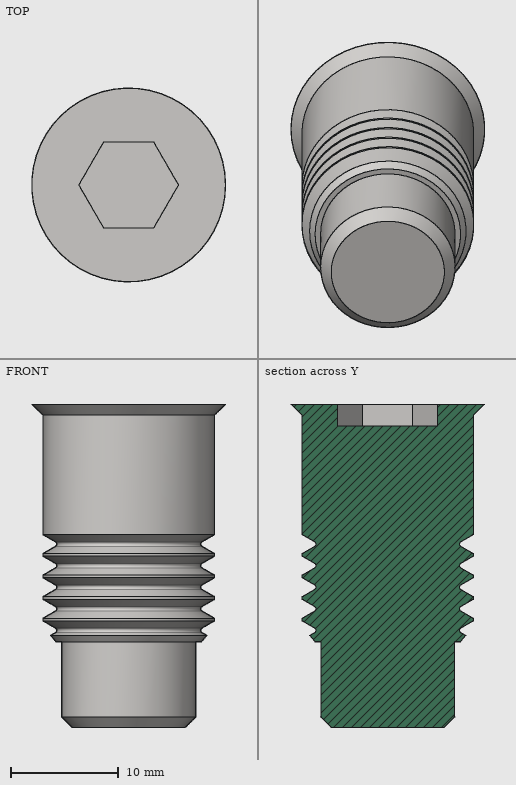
import cadquery as cq
import math

total_height = 30.0
head_radius = 9.0
body_radius = 7.98
pin_radius = 6.25
edge_chamfer = 1.0
thread_top = 17.9
thread_bottom = 7.95
thread_end_radius = 6.75
thread_end_peak_radius = 7.25
groove_count = 5
groove_pitch = 2.0
crest_width = 0.25
groove_depth = 1.3
flank_angle = math.radians(30)
hex_across_flats = 8.0
hex_depth = 2.0

groove_half_width = (groove_pitch - crest_width) / 2
sharp_depth = groove_half_width / math.tan(flank_angle)
root_arc_radius = sharp_depth - groove_depth
root_radius = body_radius - groove_depth
tangent_radius = root_radius + root_arc_radius * (1 - math.sin(flank_angle))
tangent_half_width = root_arc_radius * math.cos(flank_angle)


def groove_center(index):
    return thread_top - groove_half_width - index * groove_pitch


def cut_groove(profile, index):
    """Draw one groove down to its root and up to its lower edge."""
    center = groove_center(index)
    profile = profile.lineTo(body_radius, center + groove_half_width)
    profile = profile.lineTo(tangent_radius, center + tangent_half_width)
    profile = profile.threePointArc(
        (root_radius, center), (tangent_radius, center - tangent_half_width)
    )
    if index < groove_count - 1:
        return profile.lineTo(body_radius, center - groove_half_width)
    flank_rise = (body_radius - thread_end_peak_radius) * math.tan(flank_angle)
    return profile.lineTo(thread_end_peak_radius, center - groove_half_width + flank_rise)


def make_body():
    """Revolve the half profile, drawn from the top face down, about Z."""
    profile = (
        cq.Workplane("XZ")
        .moveTo(0, total_height)
        .lineTo(head_radius, total_height)
        .lineTo(body_radius, total_height - edge_chamfer)
    )
    for index in range(groove_count):
        profile = cut_groove(profile, index)
    profile = (
        profile.lineTo(thread_end_radius, thread_bottom)
        .lineTo(pin_radius, thread_bottom)
        .lineTo(pin_radius, edge_chamfer)
        .lineTo(pin_radius - edge_chamfer, 0)
        .lineTo(0, 0)
        .close()
    )
    return profile.revolve(360, (0, 0, 0), (0, 1, 0))


def make_hex_socket():
    """Hexagonal drive socket with two corners on the X axis."""
    across_corners = hex_across_flats / math.cos(math.radians(30))
    return (
        cq.Workplane("XY", origin=(0, 0, total_height - hex_depth))
        .polygon(6, across_corners)
        .extrude(hex_depth)
    )


result = make_body().cut(make_hex_socket())